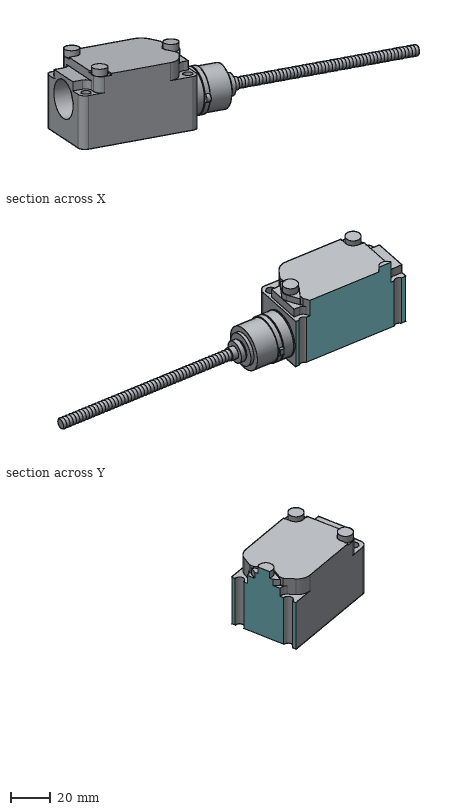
import cadquery as cq
import math

OVERALL_LENGTH = 203.7
OVERALL_HEIGHT = 42.0

BODY_WIDTH = 40.0
BODY_LENGTH = 68.0
CORNER_RADIUS = 4.0
SHOULDER_HEIGHT = 29.2
LEDGE_HEIGHT = 34.2
COVER_HEIGHT = 39.0
SCREW_SEAT_HEIGHT = 38.0
HALF_WIDTH = BODY_WIDTH / 2

LEDGE_HALF_WIDTH = 10.2
LEDGE_BLEND_RADIUS = 3.5
COVER_FRONT_Y = 9.0
COVER_REAR_Y = 61.3
REAR_LEDGE_Y = 66.6
SLOPE_ANGLE = math.radians(30)
SLOPE_CORNER_RADIUS = 8.0
SLOPE_CORNER_Y = 51.1

HOLE_DIAMETER = 5.2
HOLE_SPACING_X = 30.2
HOLE_SPACING_Y = 58.7
FRONT_HOLE_Y = 5.0

ENTRY_DIAMETER = 21.0
ENTRY_DEPTH = 10.0
ENTRY_Z = 21.4

SCREW_HEAD_RADIUS = 4.15
FRONT_SEAT_RADIUS = 4.3
REAR_SEAT_RADIUS = 4.5
FRONT_SCREW_X = 15.35
FRONT_SCREW_Y = 12.8
REAR_SCREW_Y = 61.9
REAR_SEAT_TIP_X = 9.0

AXIS_Z = 13.0
GASKET_RADIUS = AXIS_Z
GASKET_END_Y = 68.7
BASE_RADIUS = 12.8
BASE_END_Y = 75.0
GROOVE_RADIUS = 12.2
GROOVE_WIDTH = 0.4
RING_END_Y = 77.9
CAP_RADIUS = 12.2
CAP_END_Y = 90.6
SEAT_RADIUS = 9.1
SEAT_END_Y = 92.5
LUG_RADIUS = 2.4
LUG_REACH_X = 14.6
LUG_END_Y = 77.5

NECK_RADIUS = 5.4
NECK_END_Y = 93.4
NUT_RADIUS = 6.1
NUT_END_Y = 96.3
SLEEVE_RADIUS = 3.5
SLEEVE_END_Y = 99.6
COIL_RADIUS = 3.05
COIL_ROOT_RADIUS = 2.65
COIL_COUNT = 52


def block(x_min, x_max, y_min, y_max, z_min, z_max):
    """Box given by its limits along the three axes."""
    box = cq.Workplane("XY").box(x_max - x_min, y_max - y_min, z_max - z_min, centered=False)
    return box.translate((x_min, y_min, z_min))


def upright_cylinder(x, y, radius, z_min, z_max):
    """Cylinder along Z."""
    base = cq.Workplane("XY", origin=(x, y, z_min))
    return base.circle(radius).extrude(z_max - z_min)


def cylinder_along_y(x, z, radius, y_min, y_max):
    """Cylinder along Y."""
    base = cq.Workplane("XZ", origin=(x, y_min, z))
    return base.circle(radius).extrude(y_min - y_max)


def turned_about_axis(profile):
    """Revolve a closed (radius, Y) profile about the common axis of head and lever."""
    return profile.revolve(360, (0, 0, 0), (0, 1, 0)).translate((0, 0, AXIS_Z))


def raised_block(top_height, blend_ledges):
    """Block above the shoulders, from the front ledge to the rear ledge, all at one height."""
    slope_start_x = HALF_WIDTH - SLOPE_CORNER_RADIUS * (1 - math.cos(math.pi / 2 - SLOPE_ANGLE))
    slope_start_y = SLOPE_CORNER_Y + SLOPE_CORNER_RADIUS * math.cos(SLOPE_ANGLE)
    slope_end_y = slope_start_y + (slope_start_x - LEDGE_HALF_WIDTH) * math.tan(SLOPE_ANGLE)
    half_turn = (math.pi / 2 - SLOPE_ANGLE) / 2
    corner_mid = (
        HALF_WIDTH - SLOPE_CORNER_RADIUS * (1 - math.cos(half_turn)),
        SLOPE_CORNER_Y + SLOPE_CORNER_RADIUS * math.sin(half_turn),
    )
    half = (
        cq.Workplane("XY", origin=(0, 0, SHOULDER_HEIGHT))
        .lineTo(LEDGE_HALF_WIDTH, 0)
        .lineTo(LEDGE_HALF_WIDTH, COVER_FRONT_Y)
        .lineTo(HALF_WIDTH, COVER_FRONT_Y)
        .lineTo(HALF_WIDTH, SLOPE_CORNER_Y)
        .threePointArc(corner_mid, (slope_start_x, slope_start_y))
        .lineTo(LEDGE_HALF_WIDTH, slope_end_y)
        .lineTo(LEDGE_HALF_WIDTH, REAR_LEDGE_Y)
        .lineTo(0, REAR_LEDGE_Y)
        .close()
        .extrude(top_height - SHOULDER_HEIGHT)
    )
    rounded_corners = [(HALF_WIDTH, COVER_FRONT_Y, CORNER_RADIUS)]
    if blend_ledges:
        rounded_corners.append((LEDGE_HALF_WIDTH, COVER_FRONT_Y, LEDGE_BLEND_RADIUS))
        rounded_corners.append((LEDGE_HALF_WIDTH, slope_end_y, LEDGE_BLEND_RADIUS))
    for x, y, radius in rounded_corners:
        corner = cq.selectors.NearestToPointSelector((x, y, (SHOULDER_HEIGHT + top_height) / 2))
        half = half.edges("|Z").edges(corner).fillet(radius)
    return half.union(half.mirror("YZ"))


def rear_seat_outline(z_min, z_max):
    """Lozenge with two sharp side tips and sides tangent to a circle around the rear screw."""
    tangent_angle = math.acos(REAR_SEAT_RADIUS / REAR_SEAT_TIP_X)
    tangent_x = REAR_SEAT_RADIUS * math.cos(tangent_angle)
    tangent_y = REAR_SEAT_RADIUS * math.sin(tangent_angle)
    return (
        cq.Workplane("XY", origin=(0, REAR_SCREW_Y, z_min))
        .moveTo(REAR_SEAT_TIP_X, 0)
        .lineTo(tangent_x, tangent_y)
        .threePointArc((0, REAR_SEAT_RADIUS), (-tangent_x, tangent_y))
        .lineTo(-REAR_SEAT_TIP_X, 0)
        .lineTo(-tangent_x, -tangent_y)
        .threePointArc((0, -REAR_SEAT_RADIUS), (tangent_x, -tangent_y))
        .close()
        .extrude(z_max - z_min)
    )


def front_seat_recess(side):
    """Corner recess under a front screw head; its inner corner is concentric with the screw."""
    recess = block(
        FRONT_SCREW_X - FRONT_SEAT_RADIUS, HALF_WIDTH,
        0, FRONT_SCREW_Y + FRONT_SEAT_RADIUS,
        SCREW_SEAT_HEIGHT, COVER_HEIGHT,
    )
    recess = recess.edges("|Z and <X and >Y").fillet(FRONT_SEAT_RADIUS)
    return recess if side > 0 else recess.mirror("YZ")


def make_housing():
    body = block(-HALF_WIDTH, HALF_WIDTH, 0, BODY_LENGTH, 0, SHOULDER_HEIGHT)
    body = body.edges("|Z").fillet(CORNER_RADIUS)

    body = body.union(raised_block(LEDGE_HEIGHT, blend_ledges=True))
    cover = raised_block(COVER_HEIGHT, blend_ledges=False)
    for y_min, y_max in ((0, COVER_FRONT_Y), (COVER_REAR_Y, BODY_LENGTH)):
        cover = cover.cut(block(-HALF_WIDTH, HALF_WIDTH, y_min, y_max, LEDGE_HEIGHT, COVER_HEIGHT))
    body = body.union(cover)

    body = body.cut(rear_seat_outline(SCREW_SEAT_HEIGHT, COVER_HEIGHT))
    body = body.union(rear_seat_outline(SHOULDER_HEIGHT, SCREW_SEAT_HEIGHT))
    for side in (-1, 1):
        body = body.cut(front_seat_recess(side))

    for x, y in (
        (-FRONT_SCREW_X, FRONT_SCREW_Y),
        (FRONT_SCREW_X, FRONT_SCREW_Y),
        (0, REAR_SCREW_Y),
    ):
        body = body.union(upright_cylinder(x, y, SCREW_HEAD_RADIUS, SCREW_SEAT_HEIGHT, OVERALL_HEIGHT))

    for x in (-HOLE_SPACING_X / 2, HOLE_SPACING_X / 2):
        for y in (FRONT_HOLE_Y, FRONT_HOLE_Y + HOLE_SPACING_Y):
            body = body.cut(upright_cylinder(x, y, HOLE_DIAMETER / 2, 0, SHOULDER_HEIGHT))

    return body.cut(cylinder_along_y(0, ENTRY_Z, ENTRY_DIAMETER / 2, 0, ENTRY_DEPTH))


def make_head():
    profile = cq.Workplane("XY").moveTo(0, BODY_LENGTH)
    start_y = BODY_LENGTH
    for radius, end_y in (
        (GASKET_RADIUS, GASKET_END_Y),
        (BASE_RADIUS, BASE_END_Y - GROOVE_WIDTH),
        (GROOVE_RADIUS, BASE_END_Y),
        (BASE_RADIUS, RING_END_Y),
        (CAP_RADIUS, CAP_END_Y),
        (SEAT_RADIUS, SEAT_END_Y),
    ):
        profile = profile.lineTo(radius, start_y).lineTo(radius, end_y)
        start_y = end_y
    head = turned_about_axis(profile.lineTo(0, SEAT_END_Y).close())

    for side in (-1, 1):
        lug_x = side * (LUG_REACH_X - LUG_RADIUS)
        head = head.union(cylinder_along_y(lug_x, AXIS_Z, LUG_RADIUS, BASE_END_Y, LUG_END_Y))
    return head


def make_lever():
    profile = (
        cq.Workplane("XY")
        .moveTo(0, SEAT_END_Y)
        .lineTo(NECK_RADIUS, SEAT_END_Y)
        .lineTo(NECK_RADIUS, NECK_END_Y)
        .lineTo(NUT_RADIUS, NECK_END_Y)
        .lineTo(NUT_RADIUS, NUT_END_Y)
        .lineTo(SLEEVE_RADIUS, NUT_END_Y)
        .lineTo(SLEEVE_RADIUS, SLEEVE_END_Y)
        .lineTo(COIL_ROOT_RADIUS, SLEEVE_END_Y)
    )
    pitch = (OVERALL_LENGTH - SLEEVE_END_Y) / COIL_COUNT
    for coil in range(COIL_COUNT):
        coil_start_y = SLEEVE_END_Y + coil * pitch
        profile = profile.threePointArc(
            (COIL_RADIUS, coil_start_y + pitch / 2),
            (COIL_ROOT_RADIUS, coil_start_y + pitch),
        )
    return turned_about_axis(profile.lineTo(0, OVERALL_LENGTH).close())


housing = make_housing()
head = make_head()
lever = make_lever()

result = cq.Compound.makeCompound([housing.val(), head.val(), lever.val()])